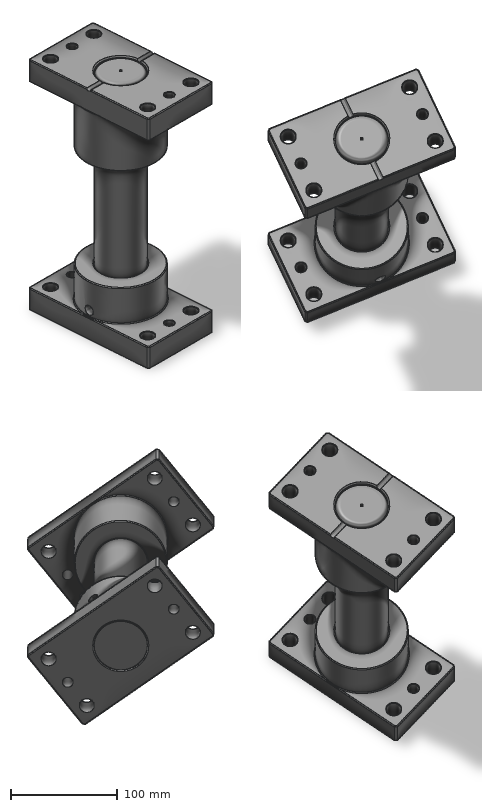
import cadquery as cq

total_height = 280.0
plate_length = 155.0
plate_width = 90.0
plate_thickness = 25.0
plate_edge_chamfer = 0.98
plate_corner_chamfer = 2.0

hub_diameter = 88.0
lower_hub_height = 40.0
upper_hub_height = 60.0
hub_edge_chamfer = 0.98
hub_foot_chamfer = (plate_width - hub_diameter) / 2

column_diameter = 50.0
column_top_radius = 5.5
center_hole_diameter = 2.8
center_hole_depth = 4.2
bore_chamfer = 1.5

hole_chamfer = 0.5
countersink_angle = 90
hole_spacing_x = 125.2
hole_spacing_y = 60.0
bolt_hole_diameter = 14.0
dowel_hole_diameter = 10.0

groove_width = 5.0
groove_depth = 2.0

screw_hole_diameter = 10.5
screw_hole_height = 32.5

upper_plate_bottom = total_height - plate_thickness
hub_radius = hub_diameter / 2
column_radius = column_diameter / 2
groove_radius = (groove_width**2 / 4 + groove_depth**2) / (2 * groove_depth)


def make_plate():
    """Rectangular plate on Z = 0 with chamfered edges, four bolt holes and two dowel holes."""
    plate = cq.Workplane("XY").box(plate_length, plate_width, plate_thickness, centered=(True, True, False))
    plate = plate.edges("|Z").chamfer(plate_corner_chamfer)
    plate = plate.faces("<Z or >Z").edges().chamfer(plate_edge_chamfer)
    plate = (
        plate.faces(">Z").workplane(origin=(0, 0, 0))
        .rect(hole_spacing_x, hole_spacing_y, forConstruction=True).vertices()
        .cskHole(bolt_hole_diameter, bolt_hole_diameter + 2 * hole_chamfer, countersink_angle)
    )
    return (
        plate.faces(">Z").workplane(origin=(0, 0, 0))
        .pushPoints([(-hole_spacing_x / 2, 0), (hole_spacing_x / 2, 0)])
        .cskHole(dowel_hole_diameter, dowel_hole_diameter + 2 * hole_chamfer, countersink_angle)
    )


def make_bore(bottom, top):
    """Cutter for a through bore that fits the column, chamfered at both ends."""
    mouth_radius = column_radius + bore_chamfer
    profile = [
        (0, bottom),
        (mouth_radius, bottom),
        (column_radius, bottom + bore_chamfer),
        (column_radius, top - bore_chamfer),
        (mouth_radius, top),
        (0, top),
    ]
    return cq.Workplane("XZ").polyline(profile).close().revolve(360, (0, 0, 0), (0, 1, 0))


def make_hub(height):
    """Hub rising from Z = 0, with a foot flared to the plate width and a chamfered free end."""
    profile = [
        (0, 0),
        (hub_radius + hub_foot_chamfer, 0),
        (hub_radius, hub_foot_chamfer),
        (hub_radius, height - hub_edge_chamfer),
        (hub_radius - hub_edge_chamfer, height),
        (0, height),
    ]
    return cq.Workplane("XZ").polyline(profile).close().revolve(360, (0, 0, 0), (0, 1, 0))


def make_lower_holder():
    """Base plate with its hub on top, column bore and set screw hole."""
    hub = make_hub(lower_hub_height).translate((0, 0, plate_thickness))
    bore = make_bore(0, plate_thickness + lower_hub_height)
    screw_hole = (
        cq.Workplane("XZ", origin=(0, 0, screw_hole_height))
        .circle(screw_hole_diameter / 2).extrude(hub_diameter)
    )
    return make_plate().union(hub).cut(bore).cut(screw_hole)


def make_upper_holder():
    """Top plate with its hub below, column bore and a round groove across the top face."""
    groove = (
        cq.Workplane("XZ", origin=(0, plate_width, total_height - groove_depth + groove_radius))
        .circle(groove_radius).extrude(2 * plate_width)
    )
    plate = make_plate().translate((0, 0, upper_plate_bottom)).cut(groove)
    hub = (
        make_hub(upper_hub_height)
        .rotate((0, 0, 0), (1, 0, 0), 180)
        .translate((0, 0, upper_plate_bottom))
    )
    bore = make_bore(upper_plate_bottom - upper_hub_height, total_height)
    return plate.union(hub).cut(bore)


def make_column():
    """Column flush with both plates, with a rounded top edge and a small center hole."""
    column = cq.Workplane("XY").circle(column_radius).extrude(total_height)
    column = column.faces(">Z").edges().fillet(column_top_radius)
    return column.faces(">Z").workplane().hole(center_hole_diameter, center_hole_depth)


lower_holder = make_lower_holder()
upper_holder = make_upper_holder()
column = make_column()

result = cq.Compound.makeCompound([
    lower_holder.solids().val(),
    upper_holder.solids().val(),
    column.solids().val(),
])